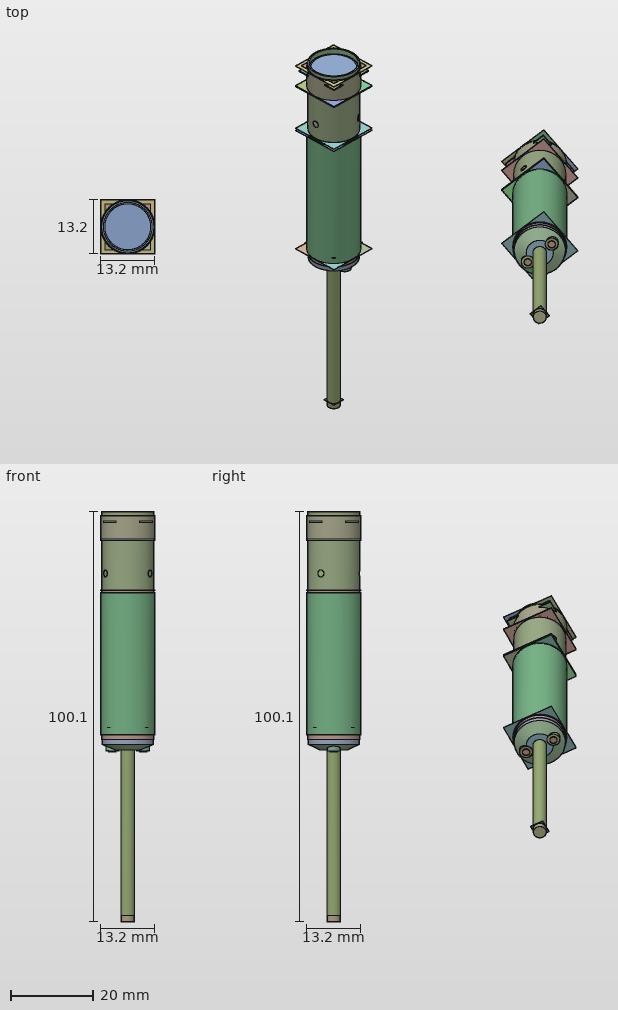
import cadquery as cq

total_height = 100.07
flange_width = 13.21
sleeve_radius = flange_width / 2
core_radius = 6.36

rod_step_z = 1.55
nose_tip_z = 41.9
nose_rim_z = 43.3
nose_step_z = 44.55
barrel_bottom_z = 45.65
barrel_top_z = 80.3
collar_z = 80.85
cap_bottom_z = 93.05
cap_top_z = 99.1

nose_radius = 6.25
nose_tip_radius = 3.3

recess_radius = 5.95
recess_floor_z = 98.7
lens_radius = 5.6
lens_thickness = 0.7

thin_flange = 0.08
thick_flange = 0.3
raised_cap_flange_width = 2 * lens_radius
small_cap_flange_width = 11.95
small_cap_flange_z = 97.45
small_barrel_flange_width = 9.9
small_barrel_flange_z = 47.4

dimple_radius = 0.85
dimple_depth = 0.1
dimple_z = 85.0
dimple_angles = (90, 210, 330)

rod_radius = 1.68
rod_tip_radius = 1.6
rod_socket_depth = 3.0

screw_radius = 1.6
screw_offset = 3.75
screw_bottom_z = 41.75
screw_top_z = nose_step_z
screw_tip_radius = 0.9
screw_tip_height = 0.25


def cylinder(radius, bottom_z, top_z):
    return cq.Workplane("XY").workplane(offset=bottom_z).circle(radius).extrude(top_z - bottom_z)


def square_flange(width, bottom_z, thickness):
    return cq.Workplane("XY").workplane(offset=bottom_z).rect(width, width).extrude(thickness)


def make_screw(side):
    shank = cylinder(screw_radius, screw_bottom_z, screw_top_z)
    tip = cylinder(screw_tip_radius, screw_bottom_z - screw_tip_height, screw_bottom_z)
    return shank.union(tip).translate((side * screw_offset, 0, 0))


def make_rod():
    rod = cylinder(rod_radius, rod_step_z, nose_tip_z + rod_socket_depth)
    rod = rod.union(cylinder(rod_tip_radius, 0, rod_step_z))
    return rod.union(square_flange(2 * rod_radius, rod_step_z, thin_flange))


def make_dimple(angle):
    reach = core_radius + dimple_depth
    cutter = cq.Workplane("YZ").circle(dimple_radius).extrude(reach)
    cutter = cutter.cut(cylinder(core_radius - dimple_depth, -dimple_radius, dimple_radius))
    return cutter.rotate((0, 0, 0), (0, 0, 1), angle).translate((0, 0, dimple_z))


def make_core():
    core = (
        cq.Workplane("XZ")
        .moveTo(0, nose_tip_z)
        .lineTo(nose_tip_radius, nose_tip_z)
        .lineTo(nose_radius, nose_rim_z)
        .lineTo(nose_radius, nose_step_z)
        .lineTo(core_radius, nose_step_z)
        .lineTo(core_radius, total_height)
        .lineTo(0, total_height)
        .close()
        .revolve(360, (0, 0, 0), (0, 1, 0))
    )
    core = core.union(square_flange(flange_width, collar_z, thin_flange))
    core = core.cut(cylinder(recess_radius, recess_floor_z, total_height))
    for angle in dimple_angles:
        core = core.cut(make_dimple(angle))
    return core


def make_sleeve(bottom_z, top_z):
    return cylinder(sleeve_radius, bottom_z, top_z)


def make_barrel():
    barrel = make_sleeve(barrel_bottom_z, barrel_top_z)
    barrel = barrel.union(square_flange(flange_width, barrel_bottom_z, thin_flange))
    barrel = barrel.union(square_flange(flange_width, barrel_top_z - thin_flange, thin_flange))
    barrel = barrel.union(square_flange(small_barrel_flange_width, small_barrel_flange_z, thin_flange))
    return barrel.cut(cylinder(core_radius, barrel_bottom_z, barrel_top_z))


def make_cap():
    cap = make_sleeve(cap_bottom_z, cap_top_z)
    cap = cap.union(square_flange(flange_width, cap_bottom_z, thick_flange))
    cap = cap.union(square_flange(flange_width, cap_top_z - thin_flange, thin_flange))
    cap = cap.union(square_flange(small_cap_flange_width, small_cap_flange_z, thick_flange))
    cap = cap.union(square_flange(raised_cap_flange_width, cap_top_z, thin_flange))
    return cap.cut(cylinder(core_radius, cap_bottom_z, cap_top_z + thin_flange))


lens = cylinder(lens_radius, recess_floor_z - lens_thickness, recess_floor_z)
rod = make_rod()
screws = [make_screw(side) for side in (-1, 1)]
core = make_core().cut(rod).cut(lens)
for screw in screws:
    core = core.cut(screw)
barrel = make_barrel()
cap = make_cap()

result = cq.Compound.makeCompound(
    [core.val(), barrel.val(), cap.val(), lens.val(), rod.val()] + [screw.val() for screw in screws]
)